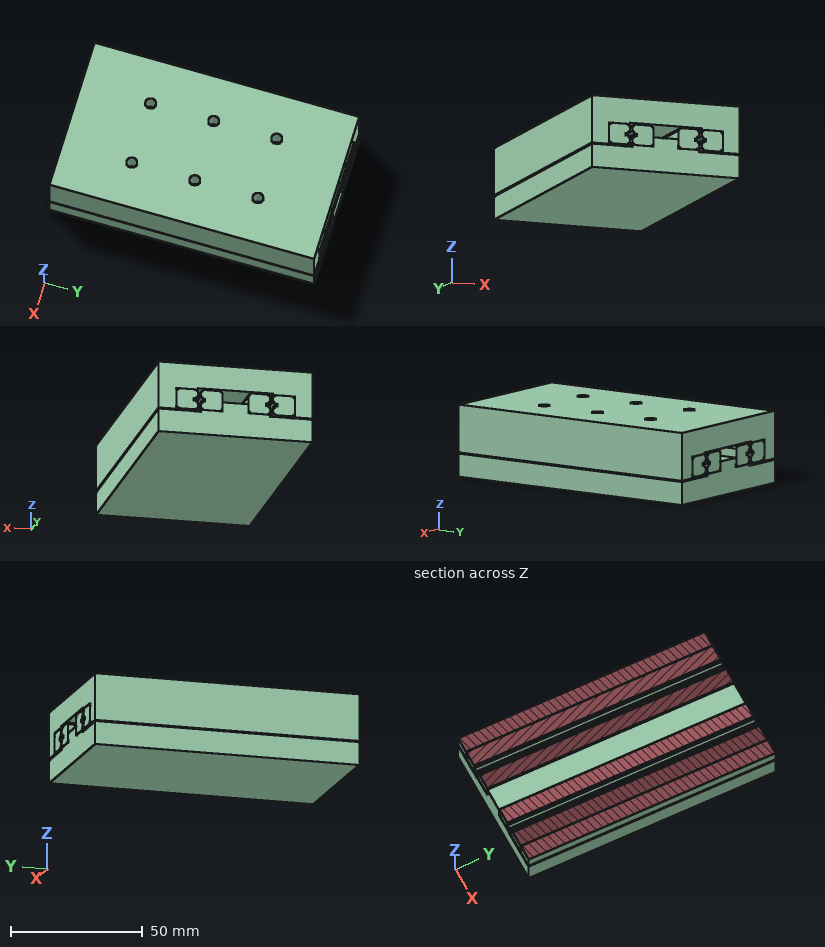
import cadquery as cq

WIDTH = 60.0
LENGTH = 104.9
HEIGHT = 27.9

RAIL_WIDTH = 8.5
RAIL_HEIGHT = 8.0
RAIL_BOTTOM = 9.8
RAIL_CHAMFER = 0.9
RAIL_GAP = 1.0
INNER_RAILS_SPACING = 10.1

GROOVE_DEPTH = 1.0
GROOVE_HALF_MOUTH = 1.5
SLOT_HALF_HEIGHT = GROOVE_HALF_MOUTH - GROOVE_DEPTH
SLOT_BOTTOM_DEPTH = 1.7

SLAB_TOP = 9.0
PLATEAU_TOP = 13.3

COVER_BOTTOM = 9.4
RECESS_TOP = 18.3
HOLE_DIAMETER = 4.1
HOLE_PITCH = 25.0
HOLE_COLUMNS = 2
HOLE_ROWS = 3

RAIL_TOP = RAIL_BOTTOM + RAIL_HEIGHT
INNER_RAIL_BACK = INNER_RAILS_SPACING / 2
INNER_RAIL_FACE = INNER_RAIL_BACK + RAIL_WIDTH
OUTER_RAIL_FACE = INNER_RAIL_FACE + RAIL_GAP
OUTER_RAIL_BACK = OUTER_RAIL_FACE + RAIL_WIDTH


def extrude_along_slide(half_outline):
    """Mirror a right-hand outline about X = 0 and extrude it over the full length."""
    mirrored = [(-x, z) for x, z in reversed(half_outline)]
    profile = cq.Workplane("XZ").polyline(half_outline + mirrored).close()
    return profile.extrude(LENGTH / 2, both=True)


def make_base():
    """Slab with a raised middle; the inner rails sit on its two shoulders."""
    return extrude_along_slide([
        (WIDTH / 2, 0),
        (WIDTH / 2, SLAB_TOP),
        (INNER_RAIL_FACE, SLAB_TOP),
        (INNER_RAIL_FACE, RAIL_BOTTOM),
        (INNER_RAIL_BACK, RAIL_BOTTOM),
        (INNER_RAIL_BACK, PLATEAU_TOP),
    ])


def make_cover():
    """Inverted channel over the rails, with a grid of holes through its top."""
    channel = extrude_along_slide([
        (WIDTH / 2, HEIGHT),
        (WIDTH / 2, COVER_BOTTOM),
        (OUTER_RAIL_BACK, COVER_BOTTOM),
        (OUTER_RAIL_BACK, RAIL_TOP),
        (OUTER_RAIL_FACE, RAIL_TOP),
        (OUTER_RAIL_FACE, RECESS_TOP),
    ])
    holes = (
        cq.Workplane("XY", origin=(0, 0, RECESS_TOP))
        .rarray(HOLE_PITCH, HOLE_PITCH, HOLE_COLUMNS, HOLE_ROWS)
        .circle(HOLE_DIAMETER / 2)
        .extrude(HEIGHT - RECESS_TOP)
    )
    return channel.cut(holes)


def make_rail(face_x, toward_back):
    """Rail with its grooved face at face_x; toward_back (+1 or -1) points to its back."""
    middle_z = RAIL_BOTTOM + RAIL_HEIGHT / 2
    bar = (
        cq.Workplane("XY")
        .box(RAIL_WIDTH, LENGTH, RAIL_HEIGHT)
        .edges("|Y")
        .chamfer(RAIL_CHAMFER)
        .translate((face_x + toward_back * RAIL_WIDTH / 2, 0, middle_z))
    )
    half_groove = [
        (0, GROOVE_HALF_MOUTH),
        (GROOVE_DEPTH, SLOT_HALF_HEIGHT),
        (SLOT_BOTTOM_DEPTH, SLOT_HALF_HEIGHT),
    ]
    lower_half = [(depth, -height) for depth, height in reversed(half_groove)]
    outline = [(toward_back * depth, height) for depth, height in half_groove + lower_half]
    groove = (
        cq.Workplane("XZ", origin=(face_x, 0, middle_z))
        .polyline(outline)
        .close()
        .extrude(LENGTH / 2, both=True)
    )
    return bar.cut(groove)


base = make_base()
cover = make_cover()
inner_rails = [make_rail(side * INNER_RAIL_FACE, -side) for side in (-1, 1)]
outer_rails = [make_rail(side * OUTER_RAIL_FACE, side) for side in (-1, 1)]

result = cq.Compound.makeCompound(
    [base.val(), cover.val()] + [rail.val() for rail in inner_rails + outer_rails]
)